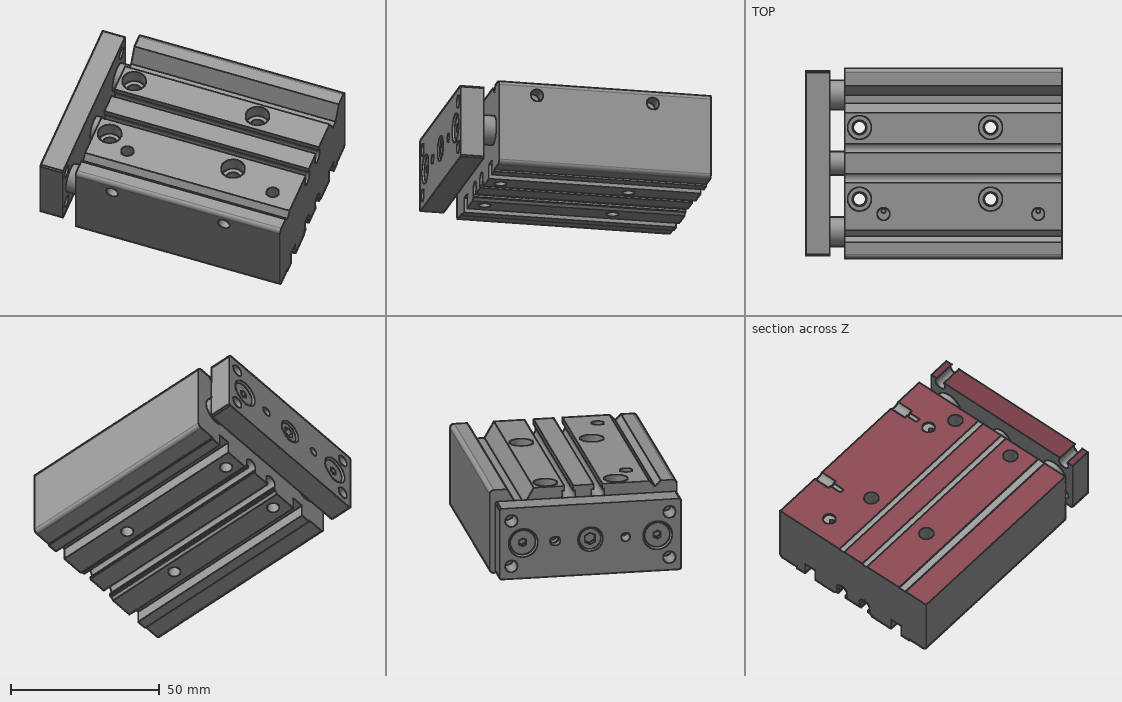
import cadquery as cq
import math


overall_length = 86.0
housing_width = 64.0
housing_height = 30.0
rod_reach = 5.0

plate_thickness = 8.0
plate_width = 62.0
plate_height = 25.0
plate_chamfer = 0.5
plate_screw_diameter = 4.2
plate_screw_y = 27.0
plate_screw_z = 8.0
dowel_diameter = 3.0
dowel_y = 12.0
dowel_slot_length = 3.5
dowel_slot_depth = 3.0
dowel_depth = 6.0

guide_rod_diameter = 10.0
guide_rod_y = 23.0
guide_socket_flats = 2.5
piston_rod_diameter = 8.0
piston_recess_diameter = 8.5
piston_socket_flats = 3.6
guide_recess_depth = 0.7
piston_recess_depth = 0.6
socket_depth = 2.0

housing_front = plate_thickness + rod_reach
housing_length = overall_length - housing_front
top_z = housing_height / 2
bottom_z = -top_z
side_y = housing_width / 2
edge_radius = 1.5

outer_step_height = 0.7
outer_step_y = 24.7
middle_relief_height = 0.95
middle_relief_half_width = 7.3

sensor_slot_y = 5.0
sensor_neck_width = 3.0
sensor_slot_width = 4.5
sensor_lip_z = 13.25
sensor_slot_depth = 5.8

dovetail_y = 21.5
dovetail_top_width = 9.1
dovetail_depth = 5.6
dovetail_angle = 60.0
v_groove_y = -24.5
v_groove_half_width = 2.0
foot_slot_y = 18.8
foot_slot_width = 4.4
foot_slot_depth = 5.0

mount_x = (18.0, 62.0)
mount_y = 12.0
mount_hole_diameter = 4.2
mount_clearance_diameter = 4.8
mount_clearance_depth = top_z
mount_bore_diameter = 8.0
mount_bore_depth = 5.0

port_diameter = 4.2
port_depth = 6.0
passage_diameter = 1.5
passage_depth = 4.3
passage_offset = 1.0
top_port_x = (26.1, 78.0)
top_port_y = -17.0
side_port_x = (26.1, 66.0)
side_port_z = 10.5


def housing_bar(points):
    """Prism of a closed (Y, Z) outline along the whole housing."""
    return cq.Workplane("YZ", origin=(housing_front, 0, 0)).polyline(points).close().extrude(housing_length)


def housing_strip(y_min, y_max, z_min, z_max):
    """Rectangular prism along the whole housing."""
    return housing_bar([(y_min, z_min), (y_max, z_min), (y_max, z_max), (y_min, z_max)])


def cylinder(start, direction, diameter, length):
    return cq.Workplane(cq.Solid.makeCylinder(diameter / 2, length, cq.Vector(*start), cq.Vector(*direction)))


def housing_blank():
    """Housing block with the outer underside steps and the rounded long edges."""
    block = housing_strip(-side_y, side_y, bottom_z, top_z)
    for side in (-1, 1):
        y_limits = sorted((side * outer_step_y, side * side_y))
        block = block.cut(housing_strip(*y_limits, bottom_z, bottom_z + outer_step_height))
    return block.edges("|X and (<Y or >Y)").fillet(edge_radius)


def middle_relief():
    """Shallow 45-degree relief along the middle of the underside."""
    floor_z = bottom_z + middle_relief_height
    mouth_half_width = middle_relief_half_width + middle_relief_height
    return housing_bar([
        (-mouth_half_width, bottom_z),
        (mouth_half_width, bottom_z),
        (middle_relief_half_width, floor_z),
        (-middle_relief_half_width, floor_z),
    ])


def sensor_slot(y, side):
    """Narrow-necked slot with a half-round floor; side is +1 on top, -1 below."""
    radius = sensor_slot_width / 2
    neck = sensor_neck_width / 2
    floor_z = side * (top_z - sensor_slot_depth)
    arc_z = floor_z + side * radius
    lip_z = side * sensor_lip_z
    return (
        cq.Workplane("YZ", origin=(housing_front, y, 0))
        .moveTo(-neck, side * top_z)
        .lineTo(-neck, lip_z)
        .lineTo(-radius, lip_z)
        .lineTo(-radius, arc_z)
        .threePointArc((0, floor_z), (radius, arc_z))
        .lineTo(radius, lip_z)
        .lineTo(neck, lip_z)
        .lineTo(neck, side * top_z)
        .close()
        .extrude(housing_length)
    )


def dovetail_groove():
    """Open trapezoidal groove in the top, narrowing downwards."""
    mouth = dovetail_top_width / 2
    floor = mouth - dovetail_depth / math.tan(math.radians(dovetail_angle))
    floor_z = top_z - dovetail_depth
    return housing_bar([
        (dovetail_y - mouth, top_z),
        (dovetail_y - floor, floor_z),
        (dovetail_y + floor, floor_z),
        (dovetail_y + mouth, top_z),
    ])


def v_groove():
    """Right-angled V groove in the top."""
    return housing_bar([
        (v_groove_y - v_groove_half_width, top_z),
        (v_groove_y, top_z - v_groove_half_width),
        (v_groove_y + v_groove_half_width, top_z),
    ])


def foot_slot(y):
    """Square slot in the underside."""
    half_width = foot_slot_width / 2
    return housing_strip(y - half_width, y + half_width, bottom_z, bottom_z + foot_slot_depth)


def mounting_hole(x, y):
    """Through hole counterbored from the top, wider in its upper half."""
    down = (0, 0, -1)
    hole = cylinder((x, y, top_z), down, mount_hole_diameter, housing_height)
    hole = hole.union(cylinder((x, y, top_z), down, mount_clearance_diameter, mount_clearance_depth))
    return hole.union(cylinder((x, y, top_z), down, mount_bore_diameter, mount_bore_depth))


def top_port(x):
    down = (0, 0, -1)
    port = cylinder((x, top_port_y, top_z), down, port_diameter, port_depth)
    passage_start = (x, top_port_y + passage_offset, top_z)
    return port.union(cylinder(passage_start, down, passage_diameter, port_depth + passage_depth))


def side_port(x):
    inward = (0, 1, 0)
    port = cylinder((x, -side_y, side_port_z), inward, port_diameter, port_depth)
    passage_start = (x, -side_y, side_port_z - passage_offset)
    return port.union(cylinder(passage_start, inward, passage_diameter, port_depth + passage_depth))


def make_housing():
    body = housing_blank().cut(middle_relief()).cut(dovetail_groove()).cut(v_groove())
    for side in (-1, 1):
        body = body.cut(foot_slot(side * foot_slot_y))
        for face in (-1, 1):
            body = body.cut(sensor_slot(side * sensor_slot_y, face))
        for x in mount_x:
            body = body.cut(mounting_hole(x, side * mount_y))
    for x in top_port_x:
        body = body.cut(top_port(x))
    for x in side_port_x:
        body = body.cut(side_port(x))
    return body


def screw_recess(y, diameter, recess_depth, socket_flats):
    """45-degree conical recess in the plate face with a hexagon socket in its floor."""
    recess = cq.Workplane(
        cq.Solid.makeCone(
            diameter / 2, diameter / 2 - recess_depth, recess_depth, cq.Vector(0, y, 0), cq.Vector(1, 0, 0)
        )
    )
    corner_diameter = socket_flats / math.cos(math.radians(30))
    socket = (
        cq.Workplane("YZ", origin=(0, y, 0))
        .transformed(rotate=(0, 0, 90))
        .polygon(6, corner_diameter)
        .extrude(recess_depth + socket_depth)
    )
    return recess.union(socket)


def make_slide():
    """Tool plate with its two guide rods and the piston rod, ending at the housing face."""
    forward = (1, 0, 0)
    slide = (
        cq.Workplane("YZ")
        .rect(plate_width, plate_height)
        .extrude(plate_thickness)
        .edges("|X")
        .chamfer(plate_chamfer)
    )
    slide = slide.union(cylinder((plate_thickness, 0, 0), forward, piston_rod_diameter, rod_reach))
    slide = slide.cut(screw_recess(0, piston_recess_diameter, piston_recess_depth, piston_socket_flats))
    for side in (-1, 1):
        rod_y = side * guide_rod_y
        slide = slide.union(cylinder((plate_thickness, rod_y, 0), forward, guide_rod_diameter, rod_reach))
        slide = slide.cut(screw_recess(rod_y, guide_rod_diameter, guide_recess_depth, guide_socket_flats))
        for z in (-plate_screw_z, plate_screw_z):
            hole_start = (0, side * plate_screw_y, z)
            slide = slide.cut(cylinder(hole_start, forward, plate_screw_diameter, plate_thickness))

    for side in (-1, 1):
        slide = slide.cut(cylinder((0, side * dowel_y, 0), forward, dowel_diameter, dowel_depth))
    dowel_slot = (
        cq.Workplane("YZ")
        .center(dowel_y, 0)
        .slot2D(dowel_slot_length, dowel_diameter)
        .extrude(dowel_slot_depth)
    )
    return slide.cut(dowel_slot)


housing = make_housing()
slide = make_slide()

result = cq.Compound.makeCompound([housing.val(), slide.val()])